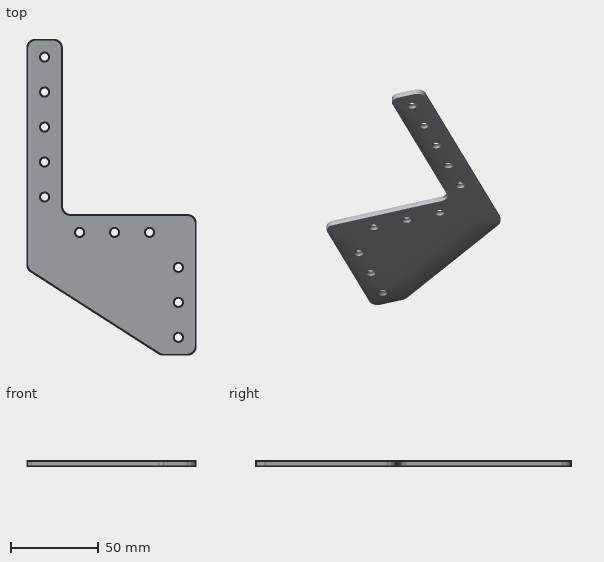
import cadquery as cq

width = 96.5
height = 180.22
thickness = 3.17

arm_width = 20.0
plate_top = 80.0
slant_left_height = 49.05
slant_bottom_x = width - arm_width
corner_radius = 5.0

hole_diameter = 5.1
hole_pitch = 20.0
edge_distance = 10.0
arm_hole_count = 5
plate_row_count = 3
side_column_count = 3


def plate_body():
    """Flat plate with every outline corner rounded."""
    outline = [
        (0, slant_left_height),
        (0, height),
        (arm_width, height),
        (arm_width, plate_top),
        (width, plate_top),
        (width, 0),
        (slant_bottom_x, 0),
    ]
    body = cq.Workplane("XY").polyline(outline).close().extrude(thickness)
    return body.edges("|Z").fillet(corner_radius)


def hole_line(start, step, count):
    """Centres of equally spaced holes in a straight line."""
    return [(start[0] + i * step[0], start[1] + i * step[1]) for i in range(count)]


def hole_centres():
    """Holes down the arm, along the plate's top edge and down its right side."""
    down = (0, -hole_pitch)
    across = (hole_pitch, 0)
    row_y = plate_top - edge_distance
    arm = hole_line((edge_distance, height - edge_distance), down, arm_hole_count)
    row = hole_line((arm_width + edge_distance, row_y), across, plate_row_count)
    side = hole_line((width - edge_distance, row_y - hole_pitch), down, side_column_count)
    return arm + row + side


def through_holes():
    """Cylinders that pierce the plate."""
    return cq.Workplane("XY").pushPoints(hole_centres()).circle(hole_diameter / 2).extrude(thickness)


result = plate_body().cut(through_holes())